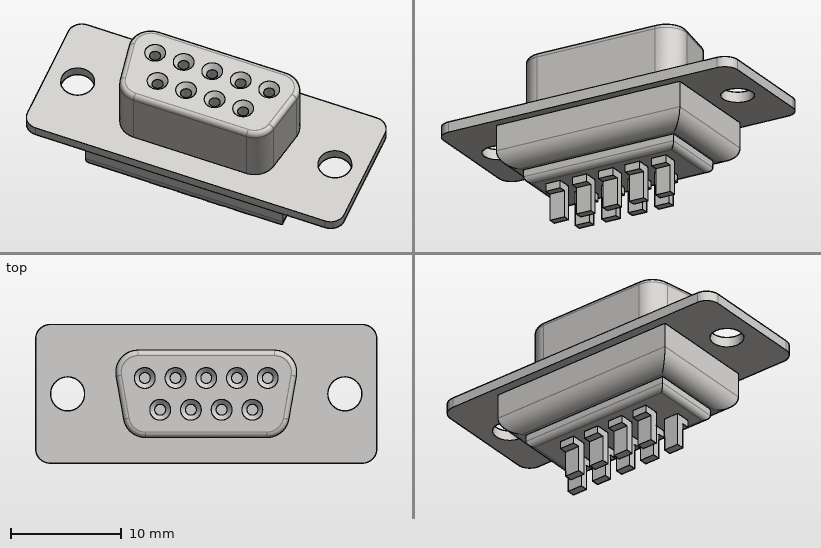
import cadquery as cq
import math

flange_length = 30.8
flange_width = 12.55
flange_thickness = 1.02
flange_corner_radius = 1.32
mounting_hole_diameter = 3.05
mounting_hole_spacing = 25.02

shell_height = 6.0
shell_width = 7.9
shell_mean_length = 15.7
shell_side_angle = 10.0
shell_corner_radius = 2.0
shell_rim_radius = 0.5

body_length = 19.23
body_width = 10.7
body_height = 4.07
body_edge_radius = 1.57
block_length = 15.7
block_width = 6.95
block_height = 1.23
block_edge_radius = 0.55

contact_pitch = 2.77
row_spacing = 2.85
socket_diameter = 1.0
socket_mouth_diameter = 1.88
socket_depth = 2.45
row_counts = {1: 5, -1: 4}

tail_width = 1.5
tail_height = 3.33
tail_inner_y = 0.68
tail_leg_thickness = 0.77
tail_shoulder_thickness = 1.5
tail_shoulder_height = 0.75

flange_bottom = -flange_thickness
body_bottom = flange_bottom - body_height
block_bottom = body_bottom - block_height


def contact_positions(count):
    """X positions of a row of contacts centred on X = 0."""
    return [(i - (count - 1) / 2) * contact_pitch for i in range(count)]


def make_flange():
    flange = (
        cq.Workplane("XY")
        .workplane(offset=flange_bottom)
        .rect(flange_length, flange_width)
        .extrude(flange_thickness)
        .edges("|Z")
        .fillet(flange_corner_radius)
    )
    half_spacing = mounting_hole_spacing / 2
    return (
        flange.faces(">Z")
        .workplane(origin=(0, 0, 0))
        .pushPoints([(-half_spacing, 0), (half_spacing, 0)])
        .hole(mounting_hole_diameter)
    )


def make_shell():
    half_width = shell_width / 2
    taper = half_width * math.tan(math.radians(shell_side_angle))
    half_long = shell_mean_length / 2 + taper
    half_short = shell_mean_length / 2 - taper
    return (
        cq.Workplane("XY")
        .polyline([
            (-half_long, half_width),
            (half_long, half_width),
            (half_short, -half_width),
            (-half_short, -half_width),
        ])
        .close()
        .extrude(shell_height)
        .edges("|Z")
        .fillet(shell_corner_radius)
        .faces(">Z")
        .edges()
        .fillet(shell_rim_radius)
    )


def make_rounded_block(length, width, height, top, edge_radius):
    """Block hanging down from the level top, with its bottom edges rounded."""
    return (
        cq.Workplane("XY")
        .workplane(offset=top)
        .rect(length, width)
        .extrude(-height)
        .faces("<Z")
        .edges()
        .fillet(edge_radius)
    )


def make_socket(x, y):
    """Blind contact hole with a 45 degree countersunk mouth, as a cutter."""
    mouth_radius = socket_mouth_diameter / 2
    bore_radius = socket_diameter / 2
    countersink_depth = mouth_radius - bore_radius
    profile = (
        cq.Workplane("XZ")
        .moveTo(0, shell_height)
        .lineTo(mouth_radius, shell_height)
        .lineTo(bore_radius, shell_height - countersink_depth)
        .lineTo(bore_radius, shell_height - socket_depth)
        .lineTo(0, shell_height - socket_depth)
        .close()
    )
    return profile.revolve(360, (0, 0, 0), (0, 1, 0)).translate((x, y, 0))


def make_tail(x, side):
    """Solder tail whose shoulder steps outward toward the given Y side."""
    leg_outer_y = tail_inner_y + tail_leg_thickness
    shoulder_outer_y = tail_inner_y + tail_shoulder_thickness
    shoulder_bottom = block_bottom - tail_shoulder_height
    tail_bottom = block_bottom - tail_height
    return (
        cq.Workplane("YZ")
        .polyline([
            (side * tail_inner_y, block_bottom),
            (side * shoulder_outer_y, block_bottom),
            (side * shoulder_outer_y, shoulder_bottom),
            (side * leg_outer_y, shoulder_bottom),
            (side * leg_outer_y, tail_bottom),
            (side * tail_inner_y, tail_bottom),
        ])
        .close()
        .extrude(tail_width / 2, both=True)
        .translate((x, 0, 0))
    )


body = make_rounded_block(body_length, body_width, body_height, flange_bottom, body_edge_radius)
block = make_rounded_block(block_length, block_width, block_height, body_bottom, block_edge_radius)
result = make_flange().union(make_shell()).union(body).union(block)

for side, count in row_counts.items():
    for x in contact_positions(count):
        result = result.cut(make_socket(x, side * row_spacing / 2))
        result = result.union(make_tail(x, side))